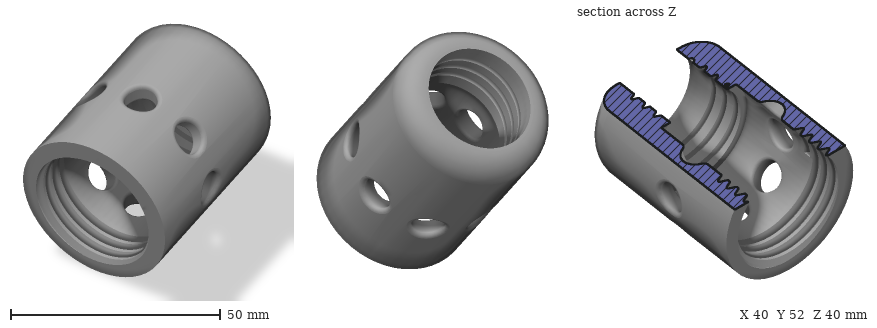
import cadquery as cq
import math

length = 52.0
outer_diameter = 40.0
outer_radius = outer_diameter / 2
back_rounding = 6.0

bore_radius = 15.3
bore_depth = 33.4
neck_radius = 13.25

vent_count = 8
vent_diameter = 8.0
vent_distance = 21.0
vent_outer_rounding = 1.0
vent_inner_rounding = 0.8
size_tolerance = 0.05

thread_half_angle = 30
groove_overlap = 0.2

bore_thread_pitch = 3.1
bore_thread_depth = 1.6
bore_root_width = 0.35
bore_thread_start = -bore_thread_pitch
bore_thread_start_angle = 120
bore_thread_turns = 14 / 3

neck_thread_pitch = 4.05
neck_thread_depth = 1.1
neck_root_width = 0.3
neck_thread_start = bore_depth + 1.25
neck_thread_start_angle = -45
neck_thread_turns = 3


def make_cylinder(radius, height):
    return cq.Workplane("XY").circle(radius).extrude(height)


def make_body():
    blank = make_cylinder(outer_radius, length)
    blank = blank.faces(">Z").edges().fillet(back_rounding)
    return blank.cut(make_cylinder(bore_radius, bore_depth)).cut(make_cylinder(neck_radius, length))


def round_vent_edges(body, surface_radius, rounding):
    """Round the vent edges that lie on the cylinder of the given radius."""
    half_band = vent_diameter / 2 + size_tolerance
    vent_band = cq.selectors.BoxSelector(
        (-outer_diameter, -outer_diameter, vent_distance - half_band),
        (outer_diameter, outer_diameter, vent_distance + half_band),
    )
    edges = []
    for edge in body.edges(vent_band).edges("not(|Z)").vals():
        point = edge.startPoint()
        if abs(math.hypot(point.x, point.y) - surface_radius) < size_tolerance:
            edges.append(edge)
    return body.newObject(edges).fillet(rounding)


def cut_vents(body):
    vent = (
        cq.Workplane("YZ")
        .center(0, vent_distance)
        .circle(vent_diameter / 2)
        .extrude(outer_diameter)
    )
    for index in range(vent_count):
        angle = index * 360 / vent_count
        body = body.cut(vent.rotate((0, 0, 0), (0, 0, 1), angle))
    body = round_vent_edges(body, bore_radius, vent_inner_rounding)
    return round_vent_edges(body, outer_radius, vent_outer_rounding)


def make_thread_groove(wall_radius, pitch, depth, root_width, turns):
    """A helical groove reaching outwards from a cylindrical wall, starting at z = 0."""
    root_half = root_width / 2
    flank_slope = math.tan(math.radians(thread_half_angle))
    mouth_half = root_half + (depth + groove_overlap) * flank_slope
    mouth_radius = wall_radius - groove_overlap
    root_radius = wall_radius + depth
    profile = cq.Workplane("XZ").polyline([
        (mouth_radius, -mouth_half),
        (root_radius, -root_half),
        (root_radius, root_half),
        (mouth_radius, mouth_half),
    ]).close()
    helix = cq.Wire.makeHelix(pitch, pitch * turns, wall_radius)
    return profile.sweep(cq.Workplane(obj=helix), isFrenet=True)


def place_groove(groove, start, start_angle):
    return groove.translate((0, 0, start)).rotate((0, 0, 0), (0, 0, 1), start_angle)


bore_groove = make_thread_groove(
    bore_radius, bore_thread_pitch, bore_thread_depth, bore_root_width, bore_thread_turns
)
neck_groove = make_thread_groove(
    neck_radius, neck_thread_pitch, neck_thread_depth, neck_root_width, neck_thread_turns
)
sleeve = cut_vents(make_body())
sleeve = sleeve.cut(place_groove(bore_groove, bore_thread_start, bore_thread_start_angle))
sleeve = sleeve.cut(place_groove(neck_groove, neck_thread_start, neck_thread_start_angle))

result = sleeve.rotate((0, 0, 0), (1, 0, 0), -90)